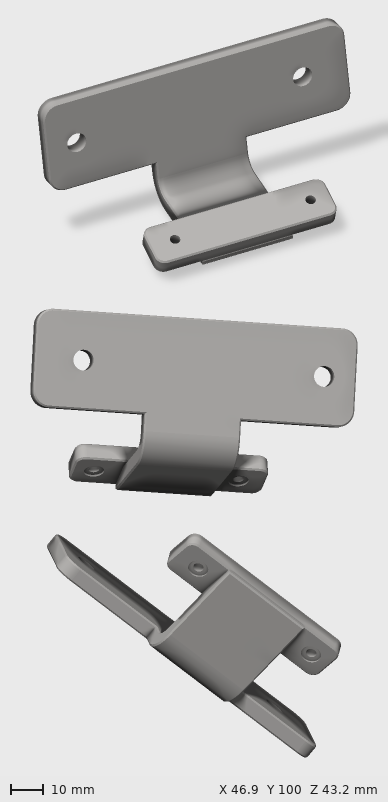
import cadquery as cq
import math

thickness = 5.0
bend_radius = 5.0
lean = 13.0
base_length = 28.0
neck_width = 30.0
neck_length = 5.3
edge_break = 0.5

plate_width = 100.0
plate_height = 30.0
plate_corner = 5.0
plate_hole = 6.3
plate_hole_spacing = 75.0
plate_hole_shift = -2.5

pad_width = 60.0
pad_length = 14.0
pad_thickness = 5.5
pad_corner = 3.0
pad_tilt = 15.0
pad_end_x = base_length
pad_end_z = 1.7
pad_hole = 3.2
counterbore = 6.2
counterbore_depth = 0.6
pad_hole_spacing = 45.0
pad_hole_shift = 0.8

outer_radius = bend_radius + thickness
sin_lean = math.sin(math.radians(lean))
cos_lean = math.cos(math.radians(lean))


def bend_point(radius, degrees):
    """Point on the bend, measured from straight down toward -X."""
    angle = math.radians(degrees)
    return (-radius * math.sin(angle), outer_radius - radius * math.cos(angle))


def up_arm(point, distance):
    """Point moved along the leaning arm."""
    return (point[0] - distance * sin_lean, point[1] + distance * cos_lean)


bend_angle = 90 - lean
arm_outer = bend_point(outer_radius, bend_angle)
arm_inner = bend_point(bend_radius, bend_angle)
arm_length = neck_length + plate_height


def bent_strip():
    """Base, bend and arm as one strip of neck width."""
    return (
        cq.Workplane("XZ")
        .moveTo(base_length, 0)
        .lineTo(0, 0)
        .threePointArc(bend_point(outer_radius, bend_angle / 2), arm_outer)
        .lineTo(*up_arm(arm_outer, arm_length))
        .lineTo(*up_arm(arm_inner, arm_length))
        .lineTo(*arm_inner)
        .threePointArc(bend_point(bend_radius, bend_angle / 2), (0, thickness))
        .lineTo(base_length, thickness)
        .close()
        .extrude(neck_width / 2, both=True)
    )


def plate():
    """Mounting plate in the plane of the arm, and the cutters for its holes."""
    center = up_arm(arm_outer, neck_length + plate_height / 2)
    plane = cq.Plane(
        origin=(center[0], 0, center[1]), xDir=(0, -1, 0), normal=(cos_lean, 0, sin_lean)
    )
    face = cq.Workplane(plane)
    body = face.rect(plate_width, plate_height).extrude(thickness)
    body = body.edges(cq.selectors.ParallelDirSelector(plane.zDir)).fillet(plate_corner)
    holes = (
        face.center(-plate_hole_shift, 0)
        .rarray(plate_hole_spacing, 1, 2, 1)
        .circle(plate_hole / 2)
        .extrude(thickness)
    )
    return body, holes


def tilt_into_place(solid):
    """Tilt a solid about the Y axis and move its origin to the pad's low bottom edge."""
    return (
        solid.rotate((0, 0, 0), (0, 1, 0), pad_tilt)
        .translate((pad_end_x, 0, pad_end_z))
    )


def pad():
    """Tilted pad with through holes counterbored from its underside."""
    body = (
        cq.Workplane("XY")
        .box(pad_length, pad_width, pad_thickness, centered=(True, True, False))
        .edges("|Z")
        .fillet(pad_corner)
        .faces("<Z or >Z")
        .chamfer(edge_break)
    )
    hole_centers = cq.Workplane("XY").center(0, pad_hole_shift).rarray(1, pad_hole_spacing, 1, 2)
    holes = hole_centers.circle(pad_hole / 2).extrude(pad_thickness)
    counterbores = hole_centers.circle(counterbore / 2).extrude(counterbore_depth)
    body = body.cut(holes).cut(counterbores)
    return tilt_into_place(body.translate((-pad_length / 2, 0, 0)))


def above_pad_underside():
    """Block above the pad's underside, where the sheet makes way for the pad."""
    reach = pad_length + edge_break
    block = cq.Workplane("XY").box(2 * reach, pad_width, pad_thickness, centered=(True, True, False))
    return tilt_into_place(block)


def break_edges(sheet):
    """Chamfer the outline of both sheet faces, leaving corners and bend seams alone."""
    margin = 0.1
    across_arm = cq.selectors.ParallelDirSelector(cq.Vector(cos_lean, 0, sin_lean))
    across_base = cq.selectors.ParallelDirSelector(cq.Vector(0, 0, 1))
    across_width = cq.selectors.ParallelDirSelector(cq.Vector(0, 1, 0))
    around_bend = cq.selectors.BoxSelector(
        (-outer_radius - margin, -plate_width, -margin),
        (margin, plate_width, outer_radius),
    )
    bend_seams = across_width & around_bend
    outline = -(across_arm + across_base + bend_seams)
    return sheet.edges(outline).chamfer(edge_break)


plate_body, plate_holes = plate()
sheet = break_edges(bent_strip().union(plate_body).clean())
sheet = sheet.cut(plate_holes).cut(above_pad_underside())
result = sheet.union(pad())